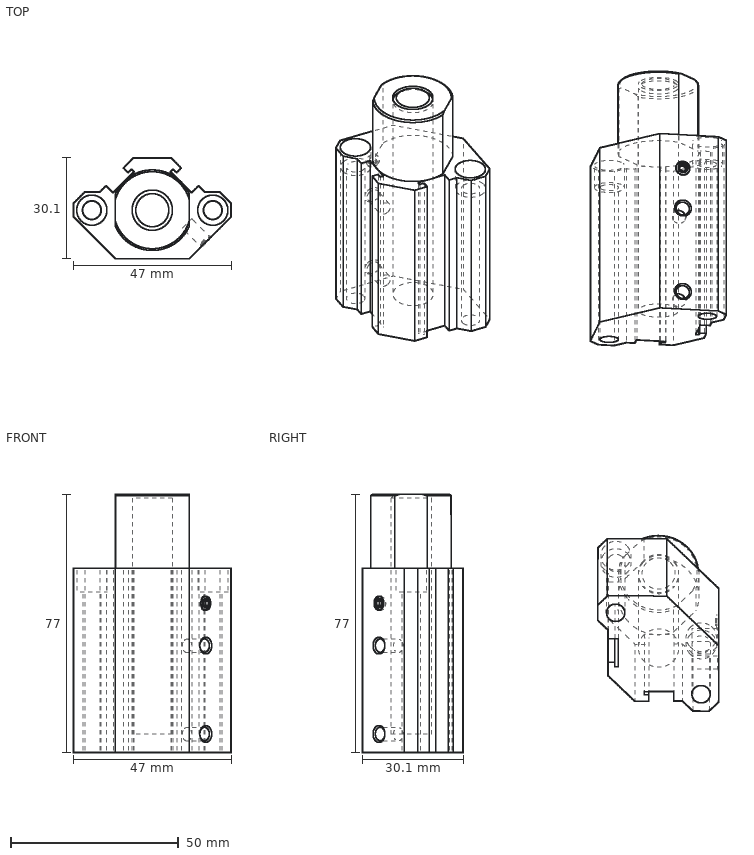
import cadquery as cq

total_height = 77.0
boss_height = 22.0
housing_height = total_height - boss_height

half_width = 23.5
front_half_width = 11.0
front_y = -14.5
back_y = 15.55
back_half_width = 5.7
ear_back_y = 5.5
ear_corner_y = 2.1
ridge_tip = (13.8, 7.3)
hook_tip = (8.6, 12.55)
hook_lip = (7.2, 11.2)
flank_sum = 16.95
undercut_x = 5.5
undercut_width = 0.7

boss_diameter = 24.0
boss_flat_half_width = front_half_width
boss_chamfer = 0.55

rod_diameter = 12.0
rod_chamfer = 1.1

mount_x = 18.0
mount_diameter = 5.5
mount_bore_diameter = 9.0
mount_bore_depth = 7.0

port_face_x = 15.95
port_heights = (5.55, 31.9)
port_diameter = 4.0
port_mouth_diameter = 5.0
port_depth = 8.0
screw_z = 44.5
screw_diameter = 4.15
screw_tip_diameter = 2.8
screw_socket_corners = 2.15
screw_socket_depth = 1.0

rod_bottom_z = port_heights[0]


def port_plane(z):
    """Plane on the 45 degree front face, with its normal pointing out of the housing."""
    y = front_y + port_face_x - front_half_width
    return cq.Plane(origin=(port_face_x, y, z), xDir=(1, 1, 0), normal=(1, -1, 0))


def make_profile_body():
    side_front_y = front_y + half_width - front_half_width
    ear_back_x = half_width - (ear_back_y - ear_corner_y)
    ridge_x, ridge_y = ridge_tip
    ridge_foot_x = ridge_x + ridge_y - ear_back_y
    valley_x = (flank_sum + ridge_x - ridge_y) / 2
    undercut_y = flank_sum - undercut_x
    right_side = [
        (front_half_width, front_y),
        (half_width, side_front_y),
        (half_width, ear_corner_y),
        (ear_back_x, ear_back_y),
        (ridge_foot_x, ear_back_y),
        ridge_tip,
        (valley_x, flank_sum - valley_x),
        (undercut_x, undercut_y),
        (undercut_x + undercut_width, undercut_y + undercut_width),
        hook_lip,
        hook_tip,
        (back_half_width, back_y),
    ]
    left_side = [(-x, y) for x, y in reversed(right_side)]
    return cq.Workplane("XY").polyline(right_side + left_side).close().extrude(housing_height)


def make_boss():
    boss = (
        cq.Workplane("XY", origin=(0, 0, housing_height))
        .circle(boss_diameter / 2)
        .extrude(boss_height)
        .faces(">Z")
        .chamfer(boss_chamfer)
    )
    flats = cq.Workplane("XY").box(2 * boss_flat_half_width, boss_diameter, 2 * total_height)
    return boss.intersect(flats)


def make_mount_hole(x):
    through = cq.Workplane("XY", origin=(x, 0, 0)).circle(mount_diameter / 2).extrude(housing_height)
    counterbore = (
        cq.Workplane("XY", origin=(x, 0, housing_height))
        .circle(mount_bore_diameter / 2)
        .extrude(-mount_bore_depth)
    )
    return through.union(counterbore)


def make_port(z):
    mouth_chamfer = (port_mouth_diameter - port_diameter) / 2
    drill = cq.Workplane(port_plane(z)).circle(port_diameter / 2).extrude(-port_depth)
    mouth = (
        cq.Workplane(port_plane(z))
        .circle(port_mouth_diameter / 2)
        .workplane(offset=-mouth_chamfer)
        .circle(port_diameter / 2)
        .loft()
    )
    return drill.union(mouth)


def make_screw_cut():
    """Groove left around the screw's chamfered end, and its hexagon socket."""
    groove_depth = (screw_diameter - screw_tip_diameter) / 2
    plane = port_plane(screw_z)
    groove = (
        cq.Workplane(cq.Plane(plane.origin, xDir=plane.xDir, normal=plane.yDir))
        .polyline([
            (screw_tip_diameter / 2, 0),
            (screw_diameter / 2, 0),
            (screw_diameter / 2, groove_depth),
        ])
        .close()
        .revolve(360, (0, 0, 0), (0, 1, 0))
    )
    socket = (
        cq.Workplane(plane)
        .transformed(rotate=(0, 0, 90))
        .polygon(6, screw_socket_corners)
        .extrude(-screw_socket_depth)
    )
    return groove.union(socket)


def make_rod():
    return (
        cq.Workplane("XY", origin=(0, 0, rod_bottom_z))
        .circle(rod_diameter / 2)
        .extrude(total_height - rod_bottom_z)
        .faces(">Z")
        .chamfer(rod_chamfer)
    )


def make_housing():
    housing = make_profile_body().union(make_boss())
    for x in (-mount_x, mount_x):
        housing = housing.cut(make_mount_hole(x))
    for z in port_heights:
        housing = housing.cut(make_port(z))
    housing = housing.cut(make_screw_cut())
    rod_bore = (
        cq.Workplane("XY", origin=(0, 0, rod_bottom_z))
        .circle(rod_diameter / 2)
        .extrude(total_height - rod_bottom_z)
    )
    return housing.cut(rod_bore).solids()


housing = make_housing()
rod = make_rod()
result = cq.Compound.makeCompound([housing.val(), rod.val()])